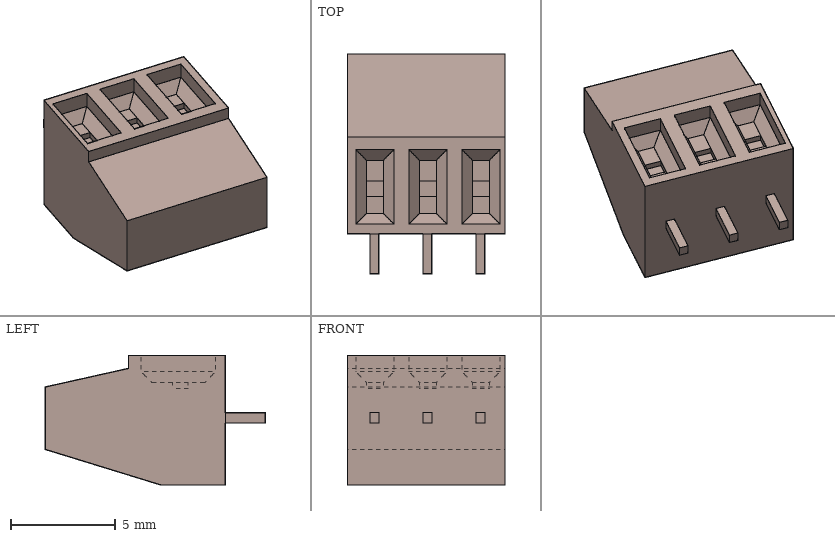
import cadquery as cq

width = 7.56
housing_depth = 8.63
height = 6.22

ledge_depth = 4.65
ledge_step = 0.62
back_top_drop = 1.51
flat_bottom_depth = 3.07
back_bottom_rise = 1.71

contact_count = 3
pitch = 2.54

pin_length = 1.91
pin_width = 0.43
pin_thickness = 0.50
pin_height = 3.23
pin_row_offset = 0.05

entry_width = 1.83
entry_length = 3.57
entry_front_wall = 0.47
entry_row_offset = 0.08
mouth_depth = 0.78
funnel_inset = 0.51
funnel_depth = funnel_inset
slot_front = 1.79
slot_width = 0.75
slot_depth = 0.30


def row_positions(row_offset):
    """X centres of one feature per contact."""
    middle = (contact_count - 1) / 2
    return [row_offset + (i - middle) * pitch for i in range(contact_count)]


def make_housing():
    """Stepped and tapered side profile, extruded across the width."""
    profile = [
        (0, 0),
        (flat_bottom_depth, 0),
        (housing_depth, back_bottom_rise),
        (housing_depth, height - back_top_drop),
        (ledge_depth, height - ledge_step),
        (ledge_depth, height),
        (0, height),
    ]
    return cq.Workplane("YZ").polyline(profile).close().extrude(width / 2, both=True)


def make_pin(x):
    """Rectangular pin standing out of the front face."""
    return (
        cq.Workplane("XZ")
        .center(x, pin_height)
        .rect(pin_width, pin_thickness)
        .extrude(pin_length)
    )


def make_entry(x):
    """Cutter for one wire entry, with its funnel and floor slot."""
    entry_centre = entry_front_wall + entry_length / 2
    floor_width = entry_width - 2 * funnel_inset
    floor_length = entry_length - 2 * funnel_inset
    funnel_top = height - mouth_depth
    floor_height = funnel_top - funnel_depth

    mouth = (
        cq.Workplane("XY", origin=(x, entry_centre, funnel_top))
        .rect(entry_width, entry_length)
        .extrude(mouth_depth)
    )
    funnel = (
        cq.Workplane("XY", origin=(x, entry_centre, floor_height))
        .rect(floor_width, floor_length)
        .workplane(offset=funnel_depth)
        .rect(entry_width, entry_length)
        .loft(ruled=True)
    )
    slot = (
        cq.Workplane("XY", origin=(x, slot_front + slot_width / 2, floor_height))
        .rect(floor_width, slot_width)
        .extrude(-slot_depth)
    )
    return mouth.union(funnel).union(slot)


result = make_housing()
for pin_x in row_positions(pin_row_offset):
    result = result.union(make_pin(pin_x))
for entry_x in row_positions(entry_row_offset):
    result = result.cut(make_entry(entry_x))